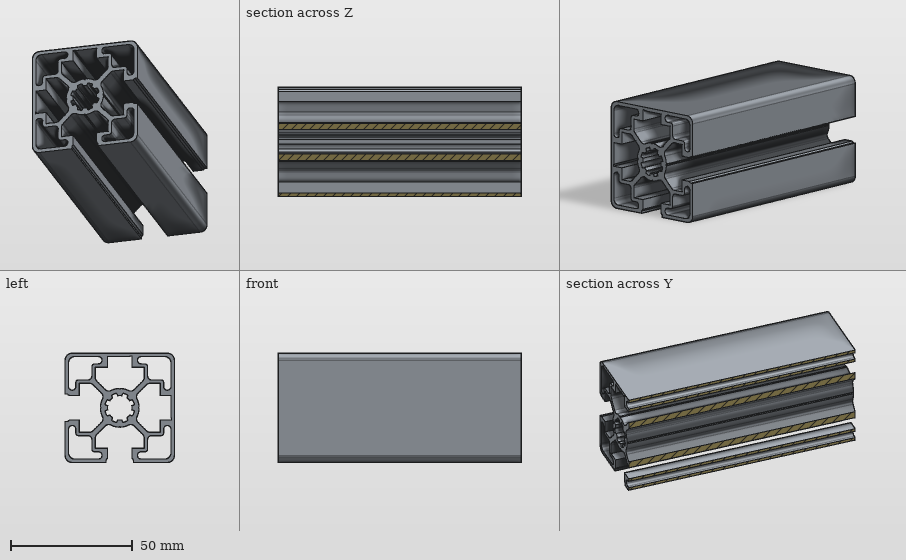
import cadquery as cq
import math

length = 100.0
side = 45.0
wall = 1.5
outer_radius = 3.0
half_side = side / 2
inner_face = half_side - wall

mouth_half_width = 5.0
slot_half_width = 10.0
lip_depth = 5.9
lip_inner = half_side - lip_depth
web_thickness = 2.2
slot_corner_radius = 2.0
hub_radius = 8.0
hub_fillet_radius = 2.0

hub_groove_width = 0.8
hub_groove_depth = 0.3

step_half_width = 5.6
step_depth = 1.0
step_chamfer_height = 0.8

relief_width = 0.8
relief_depth = 0.2

chamber_inner = slot_half_width + wall
chamber_shelf = lip_inner + wall
chamber_tip = 7.3
chamber_corner_radius = 2.5
chamber_shelf_radius = 1.2
chamber_inner_radius = 1.5

bore_radius = 5.0
flute_count = 8
flute_floor = 6.1
flute_width = 2.2
flute_corner_radius = 0.4

profile = cq.Workplane("YZ")


def extrude_outline(points):
    return profile.polyline(points).close().extrude(length)


def round_edges(body, points, radius):
    """Fillet the lengthwise edges that pass through the given profile points."""
    for across, up in points:
        picker = cq.selectors.NearestToPointSelector((length / 2, across, up))
        body = body.edges("|X").edges(picker).fillet(radius)
    return body


def turned(body, angle):
    return body.rotate((0, 0, 0), (1, 0, 0), angle)


def slot_cavity():
    """T-slot on the +Z side, ending at the inner face of the outer wall."""
    web_offset = web_thickness / math.sqrt(2)
    shoulder = slot_half_width + web_offset
    hub_across = (math.sqrt(2 * hub_radius**2 - web_offset**2) - web_offset) / 2
    hub_up = hub_across + web_offset
    cavity = (
        profile.moveTo(-mouth_half_width, inner_face)
        .lineTo(-mouth_half_width, lip_inner)
        .lineTo(-slot_half_width, lip_inner)
        .lineTo(-slot_half_width, shoulder)
        .lineTo(-hub_across, hub_up)
        .threePointArc((0, hub_radius), (hub_across, hub_up))
        .lineTo(slot_half_width, shoulder)
        .lineTo(slot_half_width, lip_inner)
        .lineTo(mouth_half_width, lip_inner)
        .lineTo(mouth_half_width, inner_face)
        .close()
        .extrude(length)
    )
    shoulders = [(sign * slot_half_width, shoulder) for sign in (-1, 1)]
    hub_corners = [(sign * hub_across, hub_up) for sign in (-1, 1)]
    cavity = round_edges(cavity, shoulders, slot_corner_radius)
    return round_edges(cavity, hub_corners, hub_fillet_radius)


def hub_groove():
    """V-groove in the +Z side of the hub, on the slot centre line."""
    half_width = hub_groove_width / 2
    return extrude_outline([
        (-half_width, hub_radius),
        (0, hub_radius - hub_groove_depth),
        (half_width, hub_radius),
    ])


def mouth_opening():
    """Stepped opening through the outer wall above a +Z slot."""
    step_floor = half_side - step_depth
    chamfer_end = step_floor - step_chamfer_height
    right_edge = [
        (step_half_width, half_side),
        (step_half_width, step_floor),
        (mouth_half_width, chamfer_end),
        (mouth_half_width, lip_inner),
    ]
    left_edge = [(-across, up) for across, up in reversed(right_edge)]
    return extrude_outline(right_edge + left_edge)


def relief_groove():
    """Shallow groove beside the -Y lip in the floor of a closed +Z slot."""
    return extrude_outline([
        (-mouth_half_width, lip_inner),
        (-mouth_half_width, inner_face + relief_depth),
        (relief_width - mouth_half_width, inner_face + relief_depth),
        (relief_width - mouth_half_width, lip_inner),
    ])


def corner_chamber():
    """Hollow in the +Y +Z corner, with a round-ended arm along each wall."""
    tip_radius = (inner_face - chamber_shelf) / 2
    tip_centre = chamber_tip + tip_radius
    arm_middle = chamber_shelf + tip_radius
    chamber = (
        profile.moveTo(inner_face, inner_face)
        .lineTo(tip_centre, inner_face)
        .threePointArc((chamber_tip, arm_middle), (tip_centre, chamber_shelf))
        .lineTo(chamber_inner, chamber_shelf)
        .lineTo(chamber_inner, chamber_inner)
        .lineTo(chamber_shelf, chamber_inner)
        .lineTo(chamber_shelf, tip_centre)
        .threePointArc((arm_middle, chamber_tip), (inner_face, tip_centre))
        .close()
        .extrude(length)
    )
    shelf_corners = [(chamber_inner, chamber_shelf), (chamber_shelf, chamber_inner)]
    chamber = round_edges(chamber, [(inner_face, inner_face)], chamber_corner_radius)
    chamber = round_edges(chamber, [(chamber_inner, chamber_inner)], chamber_inner_radius)
    return round_edges(chamber, shelf_corners, chamber_shelf_radius)


def bore_flute():
    """Parallel-sided flute on the +Z side of the bore, with rounded floor corners."""
    half_width = flute_width / 2
    floor_corners = [(-half_width, flute_floor), (half_width, flute_floor)]
    flute = extrude_outline(floor_corners + [(half_width, 0), (-half_width, 0)])
    return round_edges(flute, floor_corners, flute_corner_radius)


quarter_turn = 90
result = profile.rect(side, side).extrude(length).edges("|X").fillet(outer_radius)

for side_index in range(4):
    result = result.cut(turned(slot_cavity(), quarter_turn * side_index))
    result = result.cut(turned(hub_groove(), quarter_turn * side_index))
    result = result.cut(turned(corner_chamber(), quarter_turn * side_index))

for angle in (-quarter_turn, 2 * quarter_turn):
    result = result.cut(turned(mouth_opening(), angle))
for angle in (0, quarter_turn):
    result = result.cut(turned(relief_groove(), angle))

result = result.cut(profile.circle(bore_radius).extrude(length))
flute_pitch = 360 / flute_count
for index in range(flute_count):
    result = result.cut(turned(bore_flute(), (index + 0.5) * flute_pitch))